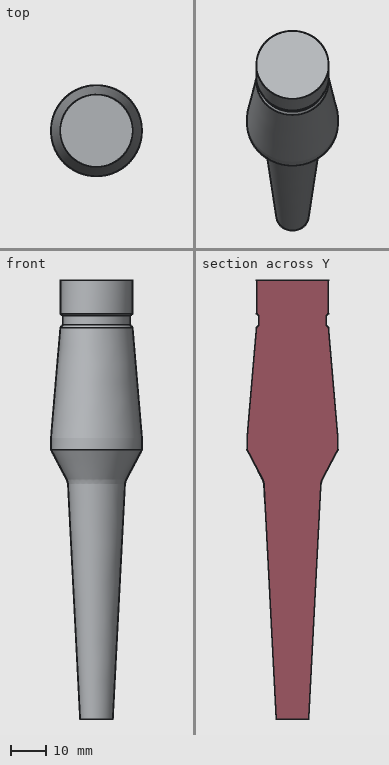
import cadquery as cq

total_height = 125.0
body_diameter = 26.0

tip_diameter = 9.4
shank_top_diameter = 16.4
head_diameter = 20.6
neck_diameter = 19.2

shank_top = 67.6
band_bottom = 76.8
band_top = 80.0
body_top = 111.5
neck_bottom = 112.2
neck_top = 114.9
head_bottom = 115.4

shank_fillet_radius = 3.1

sections = [
    (tip_diameter, 0),
    (shank_top_diameter, shank_top),
    (body_diameter, band_bottom),
    (body_diameter, band_top),
    (head_diameter, body_top),
    (neck_diameter, neck_bottom),
    (neck_diameter, neck_top),
    (head_diameter, head_bottom),
    (head_diameter, total_height),
]

half_profile = [(0, 0)]
for diameter, height in sections:
    half_profile.append((diameter / 2, height))
half_profile.append((0, total_height))

body = cq.Workplane("XZ").polyline(half_profile).close().revolve(360, (0, 0), (0, 1))

shank_corner = cq.selectors.NearestToPointSelector((0, 0, shank_top))
result = body.edges("%CIRCLE").edges(shank_corner).fillet(shank_fillet_radius)